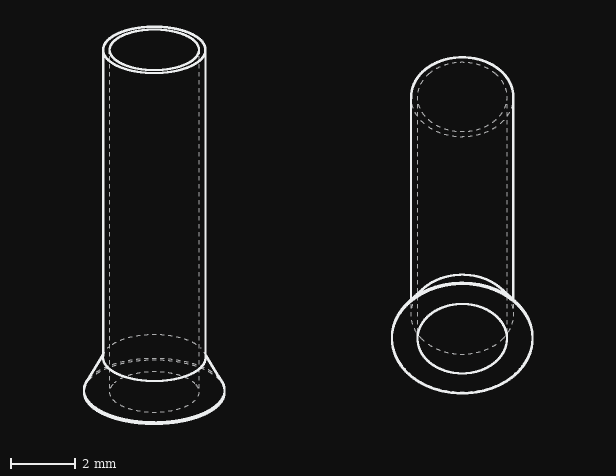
import cadquery as cq

total_height = 12.0
tube_diameter = 3.2
bore_diameter = 2.8

foot_diameter = 4.4
foot_height = 1.2
rim_height = 0.06

tube_radius = tube_diameter / 2
bore_radius = bore_diameter / 2
foot_radius = foot_diameter / 2

wall_section = (
    cq.Workplane("XZ")
    .moveTo(bore_radius, 0)
    .lineTo(foot_radius, 0)
    .lineTo(foot_radius, rim_height)
    .lineTo(tube_radius, foot_height)
    .lineTo(tube_radius, total_height)
    .lineTo(bore_radius, total_height)
    .close()
)

result = wall_section.revolve(360, (0, 0, 0), (0, 1, 0))